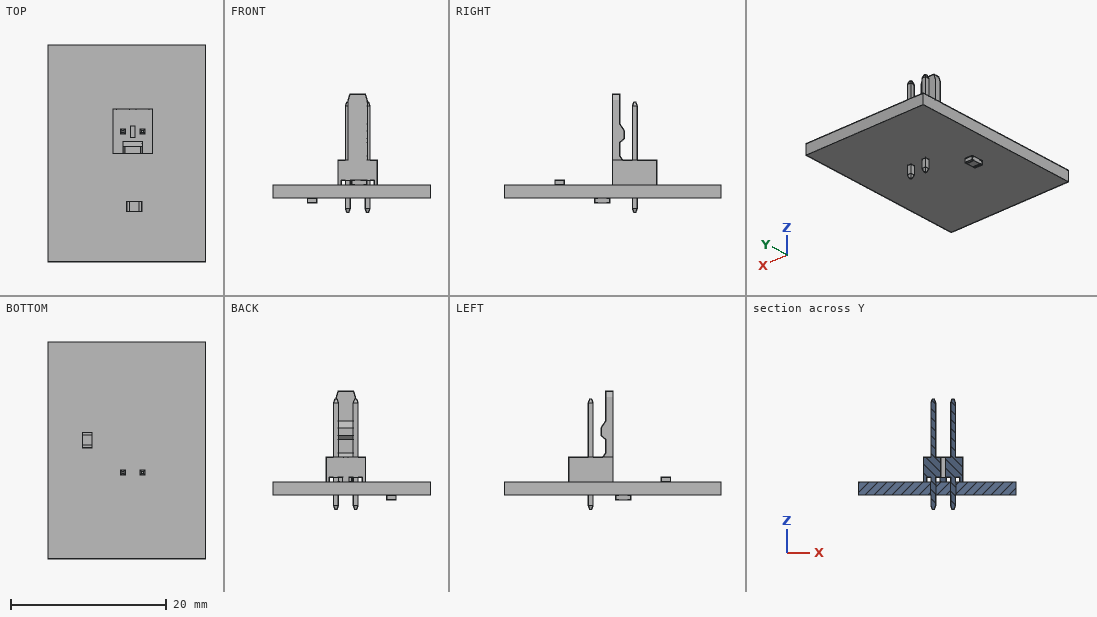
import cadquery as cq

BOARD_WIDTH = 20.32
BOARD_LENGTH = 27.94
BOARD_THICKNESS = 1.7

PIN_COUNT = 2
PIN_PITCH = 2.54
HEADER_X = 0.76
HEADER_Y = 2.82
PIN_Y = 2.84
BASE_WIDTH = PIN_COUNT * PIN_PITCH
BASE_DEPTH = 5.72
BASE_HEIGHT = 3.2
BASE_FRONT = -BASE_DEPTH / 2

FOOT_HEIGHT = 0.6
SIDE_FOOT_WIDTH = 0.43
RIB_WIDTH = 0.85

POCKET_WIDTH = 0.6
POCKET_LENGTH = 1.5
POCKET_Y = -0.05

LATCH_WIDTH = 2.5
LATCH_THICKNESS = 0.95
LATCH_TOP = 11.7
LATCH_CHAMFER_WIDTH = 0.25
LATCH_CHAMFER_HEIGHT = 0.8
BUMP_DEPTH = 0.6
BUMP_BOTTOM = 5.47
BUMP_PEAK_BOTTOM = 5.97
BUMP_PEAK_TOP = 6.97
BUMP_TOP = 7.87
GUSSET_DEPTH = 0.36
GUSSET_HEIGHT = 0.54

PIN_SIZE = 0.64
PIN_TOP = 10.7
PIN_BOTTOM = -3.56
TIP_LENGTH = 0.5
TIP_SIZE = 0.25

CHIP_LENGTH = 2.0
CHIP_WIDTH = 1.25
CHIP_HEIGHT = 0.63
CAP_LENGTH = 0.38
CAP_THICKNESS = 0.06
CAP_RADIUS = 0.05
TOP_CHIP_CENTER = (0.98, -6.84)
BOTTOM_CHIP_CENTER = (-5.1, -1.33)

PIN_PLACES = [
    (HEADER_X + (i - (PIN_COUNT - 1) / 2) * PIN_PITCH, PIN_Y) for i in range(PIN_COUNT)
]


def block(width, length, bottom, top):
    """Box centred on X and Y, between two heights."""
    return cq.Workplane("XY").workplane(offset=bottom).rect(width, length).extrude(top - bottom)


def make_board():
    board = block(BOARD_WIDTH, BOARD_LENGTH, -BOARD_THICKNESS, 0)
    return board.pushPoints(PIN_PLACES).rect(PIN_SIZE, PIN_SIZE).cutThruAll()


def make_base():
    base = block(BASE_WIDTH, BASE_DEPTH, 0, BASE_HEIGHT)
    channel_width = (BASE_WIDTH - RIB_WIDTH) / 2 - SIDE_FOOT_WIDTH
    channel = block(channel_width, BASE_DEPTH, 0, FOOT_HEIGHT)
    channel_x = (RIB_WIDTH + channel_width) / 2
    for side in (-1, 1):
        base = base.cut(channel.translate((side * channel_x, 0, 0)))
    pocket = block(POCKET_WIDTH, POCKET_LENGTH, FOOT_HEIGHT, BASE_HEIGHT)
    return base.cut(pocket.translate((0, POCKET_Y, 0)))


def make_latch():
    inner_face = BASE_FRONT + LATCH_THICKNESS
    profile = [
        (BASE_FRONT, BASE_HEIGHT),
        (inner_face + GUSSET_DEPTH, BASE_HEIGHT),
        (inner_face, BASE_HEIGHT + GUSSET_HEIGHT),
        (inner_face, BUMP_BOTTOM),
        (inner_face + BUMP_DEPTH, BUMP_PEAK_BOTTOM),
        (inner_face + BUMP_DEPTH, BUMP_PEAK_TOP),
        (inner_face, BUMP_TOP),
        (inner_face, LATCH_TOP),
        (BASE_FRONT, LATCH_TOP),
    ]
    latch = cq.Workplane("YZ").polyline(profile).close().extrude(LATCH_WIDTH / 2, both=True)
    half_width = LATCH_WIDTH / 2
    shoulder = LATCH_TOP - LATCH_CHAMFER_HEIGHT
    outline = [
        (-half_width, BASE_HEIGHT),
        (half_width, BASE_HEIGHT),
        (half_width, shoulder),
        (half_width - LATCH_CHAMFER_WIDTH, LATCH_TOP),
        (LATCH_CHAMFER_WIDTH - half_width, LATCH_TOP),
        (-half_width, shoulder),
    ]
    silhouette = cq.Workplane("XZ").polyline(outline).close().extrude(BASE_DEPTH / 2, both=True)
    return latch.intersect(silhouette)


def make_pin():
    shank_top = PIN_TOP - TIP_LENGTH
    shank_bottom = PIN_BOTTOM + TIP_LENGTH
    pin = block(PIN_SIZE, PIN_SIZE, shank_bottom, shank_top)
    for shank_end, tip_end in ((shank_top, PIN_TOP), (shank_bottom, PIN_BOTTOM)):
        tip = (
            cq.Workplane("XY", origin=(0, 0, shank_end))
            .rect(PIN_SIZE, PIN_SIZE)
            .workplane(offset=tip_end - shank_end)
            .rect(TIP_SIZE, TIP_SIZE)
            .loft()
        )
        pin = pin.union(tip)
    return pin


def make_header():
    header = make_base().union(make_latch()).translate((HEADER_X, HEADER_Y, 0))
    for x, y in PIN_PLACES:
        header = header.union(make_pin().translate((x, y, 0)))
    return header


def make_cap(side):
    """Metal cap on one end of a chip lying along X."""
    cap_x = side * (CHIP_LENGTH - CAP_LENGTH) / 2
    cap = block(CAP_LENGTH, CHIP_WIDTH, 0, CHIP_HEIGHT).translate((cap_x, 0, 0))
    cap = cap.edges("|Y").edges(">X" if side > 0 else "<X").fillet(CAP_RADIUS)
    core = block(
        CHIP_LENGTH - 2 * CAP_THICKNESS, CHIP_WIDTH, CAP_THICKNESS, CHIP_HEIGHT - CAP_THICKNESS
    )
    return cap.cut(core)


def make_chip():
    """Core and two caps of a chip lying along X on Z = 0."""
    caps = [make_cap(side) for side in (-1, 1)]
    core = block(CHIP_LENGTH - 2 * CAP_THICKNESS, CHIP_WIDTH, 0, CHIP_HEIGHT)
    for cap in caps:
        core = core.cut(cap)
    return [core, *caps]


board = make_board()
header = make_header()
top_chip = [body.translate((*TOP_CHIP_CENTER, 0)) for body in make_chip()]
bottom_chip = [
    body.rotate((0, 0, 0), (0, 0, 1), 90)
    .rotate((0, 0, 0), (0, 1, 0), 180)
    .translate((*BOTTOM_CHIP_CENTER, -BOARD_THICKNESS))
    for body in make_chip()
]

result = cq.Compound.makeCompound(
    [body.val() for body in (board, header, *top_chip, *bottom_chip)]
)